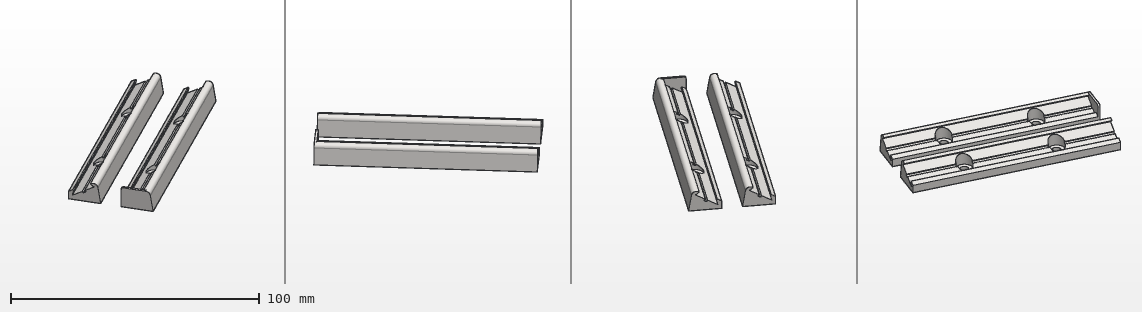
import cadquery as cq
import math

LENGTH = 90.0
WIDTH = 13.5
HEIGHT = 9.0
RAIL_PITCH = 22.0

BACK_LEAN = math.radians(9)
BACK_RADIUS = 2.0

SLOPE = math.tan(math.radians(30.5))
SEAT_START_X = 1.6
SEAT_START_Z = 2.0
SEAT_END_X = 10.6

FRONT_HEIGHT = 3.5
LIP_CREST_X = 1.8
LIP_TIP_X = 2.2
LIP_TIP_Z = 4.2

HOOK_TIP_X = 9.2

GROOVE_START_X = 5.8
GROOVE_END_X = 6.75
GROOVE_FLOOR_START_X = 6.2
GROOVE_FLOOR_END_X = 7.2
GROOVE_FLOOR_DROP = 0.9

HOLE_DIAMETER = 3.5
COUNTERBORE_DIAMETER = 7.0
COUNTERBORE_FLOOR_Z = 2.0
HOLE_X = WIDTH / 2
HOLE_SPACING = 40.0

STOP_THICKNESS = 1.0
STOP_FRONT_RADIUS = 1.0

BACK_ARC_X = (
    WIDTH
    - (HEIGHT - BACK_RADIUS) * math.tan(BACK_LEAN)
    - BACK_RADIUS / math.cos(BACK_LEAN)
)
BACK_ARC_Z = HEIGHT - BACK_RADIUS


def back_arc_point(angle):
    """Point on the back rounding at an angle above horizontal."""
    return (
        BACK_ARC_X + BACK_RADIUS * math.cos(angle),
        BACK_ARC_Z + BACK_RADIUS * math.sin(angle),
    )


def seat_z(x):
    """Height of the seat line at x."""
    return SEAT_START_Z + (x - SEAT_START_X) * SLOPE


def base_and_back(arc_end_angle):
    """Open outline along the base, up the back wall and round to the given arc angle."""
    middle_angle = (arc_end_angle + BACK_LEAN) / 2
    return (
        cq.Workplane("XZ", origin=(0, -LENGTH / 2, 0))
        .moveTo(0, 0)
        .lineTo(WIDTH, 0)
        .lineTo(*back_arc_point(BACK_LEAN))
        .threePointArc(back_arc_point(middle_angle), back_arc_point(arc_end_angle))
    )


def make_rail_strip():
    """Full-length extrusion of the clip profile."""
    hook_tip_angle = math.acos((HOOK_TIP_X - BACK_ARC_X) / BACK_RADIUS)
    outline = (
        base_and_back(hook_tip_angle)
        .lineTo(SEAT_END_X, seat_z(SEAT_END_X))
        .lineTo(GROOVE_END_X, seat_z(GROOVE_END_X))
        .lineTo(GROOVE_FLOOR_END_X, seat_z(GROOVE_FLOOR_END_X) - GROOVE_FLOOR_DROP)
        .lineTo(GROOVE_FLOOR_START_X, seat_z(GROOVE_FLOOR_START_X) - GROOVE_FLOOR_DROP)
        .lineTo(GROOVE_START_X, seat_z(GROOVE_START_X))
        .lineTo(SEAT_START_X, SEAT_START_Z)
        .lineTo(LIP_TIP_X, LIP_TIP_Z)
        .lineTo(LIP_CREST_X, FRONT_HEIGHT + LIP_CREST_X * SLOPE)
        .lineTo(0, FRONT_HEIGHT)
        .close()
    )
    return outline.extrude(-LENGTH)


def make_hole_cutter(y):
    """Through hole and counterbore; the counterbore ends at the top of the seat, below the hook."""
    hole = (
        cq.Workplane("XY", origin=(HOLE_X, y, 0))
        .circle(HOLE_DIAMETER / 2)
        .extrude(seat_z(SEAT_END_X))
    )
    counterbore = (
        cq.Workplane("XY", origin=(HOLE_X, y, COUNTERBORE_FLOOR_Z))
        .circle(COUNTERBORE_DIAMETER / 2)
        .extrude(seat_z(SEAT_END_X) - COUNTERBORE_FLOOR_Z)
    )
    return hole.union(counterbore)


def make_end_stop():
    """Plate that closes the -Y end of a rail up to its full height."""
    corner_offset = STOP_FRONT_RADIUS * (1 - math.sqrt(0.5))
    outline = (
        base_and_back(math.pi / 2)
        .lineTo(STOP_FRONT_RADIUS, HEIGHT)
        .threePointArc(
            (corner_offset, HEIGHT - corner_offset),
            (0, HEIGHT - STOP_FRONT_RADIUS),
        )
        .close()
    )
    return outline.extrude(-STOP_THICKNESS)


def make_open_rail():
    """Rail with two screw holes and both ends open."""
    rail = make_rail_strip()
    for y in (-HOLE_SPACING / 2, HOLE_SPACING / 2):
        rail = rail.cut(make_hole_cutter(y))
    return rail


def make_stopped_rail():
    """Rail with two screw holes and one closed end."""
    return make_open_rail().union(make_end_stop())


open_rail = make_open_rail()
stopped_rail = make_stopped_rail().translate((RAIL_PITCH, 0, 0))

result = cq.Compound.makeCompound([open_rail.val(), stopped_rail.val()])